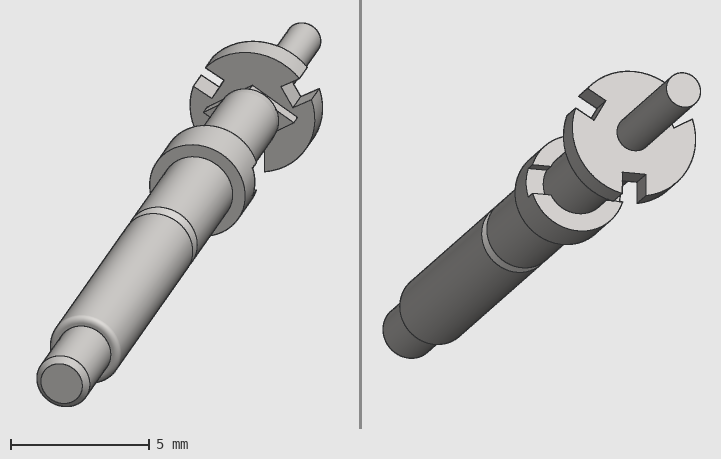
import cadquery as cq
import math


total_length = 32.1
plunger_length = 3.0
plunger_chamfer = 0.22
body_rounding = 0.22
groove_station = 13.0
groove_half_width = 0.3
collar_start = 18.0
collar_length = 1.8
collar_slot_depth = 0.5
key_start = 24.8
key_length = 0.5
neck_taper_length = 0.38
flange_thickness = 1.05

plunger_radius = 1.0
body_radius = 1.33
groove_radius = 1.12
collar_radius = 1.8
barrel_radius = 1.15
neck_radius = 1.13
flange_radius = 2.35
tail_radius = 0.65

collar_slot_width = 1.08

key_half_width = 1.7
key_half_height = 1.07

notch_count = 3
notch_width = 0.9
notch_floor_radius = 1.5
notch_first_angle = -90.0

collar_end = collar_start + collar_length
key_end = key_start + key_length
flange_end = key_end + flange_thickness
centering_shift = -total_length / 2


def cross_section(start):
    """Workplane across the pin: local x is -X, local y is Z, and extrusion runs toward +Y."""
    return cq.Workplane(cq.Plane(origin=(0, start, 0), xDir=(-1, 0, 0), normal=(0, 1, 0)))


def disc(start, end, radius):
    return cross_section(start).circle(radius).extrude(end - start)


def plunger_and_body():
    """Turned front part, as a half outline of (radius, station) revolved about Y."""
    rounding_center = (body_radius - body_rounding, plunger_length + body_rounding)
    rounding_reach = body_rounding * math.sqrt(0.5)
    outline = (
        cq.Workplane("XY")
        .lineTo(plunger_radius - plunger_chamfer, 0)
        .lineTo(plunger_radius, plunger_chamfer)
        .lineTo(plunger_radius, plunger_length)
        .lineTo(rounding_center[0], plunger_length)
        .threePointArc(
            (rounding_center[0] + rounding_reach, rounding_center[1] - rounding_reach),
            (body_radius, rounding_center[1]),
        )
        .lineTo(body_radius, groove_station - groove_half_width)
        .lineTo(groove_radius, groove_station)
        .lineTo(body_radius, groove_station + groove_half_width)
        .lineTo(body_radius, collar_start)
        .lineTo(barrel_radius, collar_start)
        .lineTo(barrel_radius, key_start - neck_taper_length)
        .lineTo(neck_radius, key_start)
        .lineTo(0, key_start)
        .close()
    )
    return outline.revolve(360, (0, 0, 0), (0, 1, 0))


def slotted_collar():
    collar = disc(collar_start, collar_end, collar_radius)
    slot = (
        cross_section(collar_end - collar_slot_depth)
        .rect(2 * collar_radius, collar_slot_width)
        .extrude(collar_slot_depth)
    )
    return collar.cut(slot)


def rhombic_key():
    corners = [
        (key_half_width, 0),
        (0, key_half_height),
        (-key_half_width, 0),
        (0, -key_half_height),
    ]
    return cross_section(key_start).polyline(corners).close().extrude(key_length)


def notched_flange():
    flange = disc(key_end, flange_end, flange_radius)
    cutter_length = flange_radius
    for index in range(notch_count):
        angle = notch_first_angle + index * 360 / notch_count
        notch = (
            cross_section(key_end)
            .transformed(rotate=(0, 0, angle))
            .center(notch_floor_radius + cutter_length / 2, 0)
            .rect(cutter_length, notch_width)
            .extrude(flange_thickness)
        )
        flange = flange.cut(notch)
    return flange


def tail():
    return disc(flange_end, total_length, tail_radius)


result = (
    slotted_collar()
    .union(plunger_and_body())
    .union(rhombic_key())
    .union(notched_flange())
    .union(tail())
    .translate((0, centering_shift, 0))
)